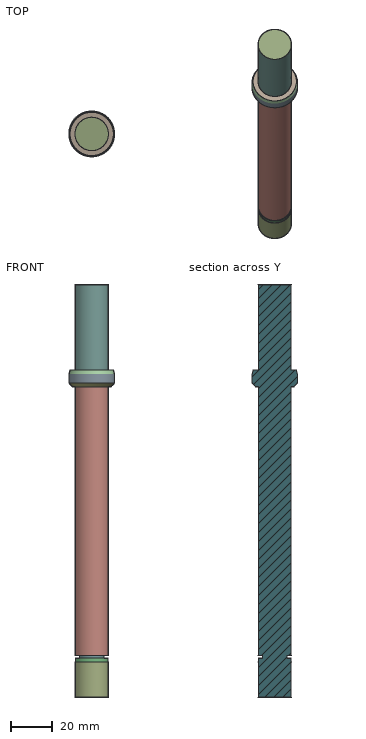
import cadquery as cq

length = 197.5
shaft_diameter = 16.0
shaft_radius = shaft_diameter / 2

collar_diameter = 22.0
collar_radius = collar_diameter / 2
collar_bottom = 148.5
collar_height = 8.0
collar_top = collar_bottom + collar_height
top_lead_width = 0.5
top_lead_height = 2.0
bottom_chamfer = 1.8

groove_radius = 6.0
groove_bottom = 18.8
groove_width = 1.2
groove_top = groove_bottom + groove_width
band_depth = 0.2
band_height = 1.8
band_radius = shaft_radius - band_depth
band_bottom = groove_bottom - band_height

half_section = [
    (0, 0),
    (shaft_radius, 0),
    (shaft_radius, band_bottom),
    (band_radius, band_bottom),
    (band_radius, groove_bottom),
    (groove_radius, groove_bottom),
    (groove_radius, groove_top),
    (shaft_radius, groove_top),
    (shaft_radius, collar_bottom),
    (collar_radius - bottom_chamfer, collar_bottom),
    (collar_radius, collar_bottom + bottom_chamfer),
    (collar_radius, collar_top - top_lead_height),
    (collar_radius - top_lead_width, collar_top),
    (shaft_radius, collar_top),
    (shaft_radius, length),
    (0, length),
]

result = cq.Workplane("XZ").polyline(half_section).close().revolve(360, (0, 0, 0), (0, 1, 0))